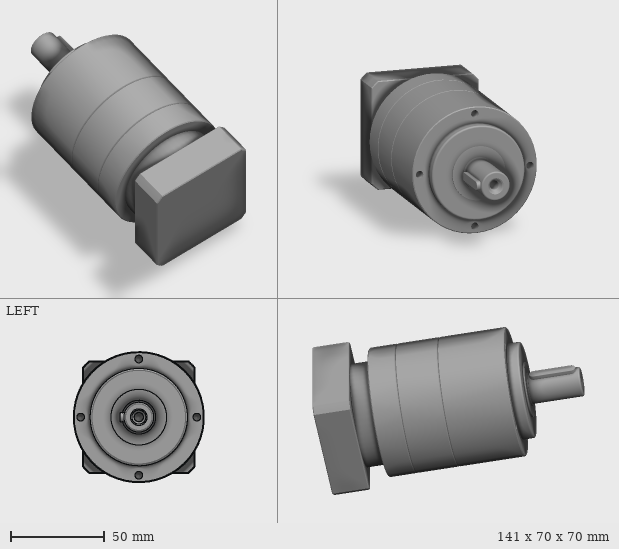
import cadquery as cq
import math

COLLAR_X = 27.9
BEARING_COVER_X = 28.6
PILOT_X = 29.5
BARREL_X = 36.0
RING_GEAR_X = 72.0
REAR_HOUSING_X = 95.0
BARREL_END_X = 110.1
FLANGE_X = 121.0
END_X = 141.0

SHAFT_DIA = 16.0
COLLAR_DIA = 18.0
BEARING_COVER_DIA = 29.8
PILOT_DIA = 52.0
BARREL_DIA = 70.0
NECK_DIA = 56.0

SHAFT_TIP_RADIUS = 0.8
PILOT_RADIUS = 1.0
BARREL_CHAMFER = 0.5
FLANGE_CHAMFER = 0.5

FLANGE_SIDE = 60.0
FLANGE_CORNER_DIA = 80.1

BOLT_CIRCLE_DIA = 62.0
BOLT_HOLE_DIA = 4.1
BOLT_HOLE_DEPTH = 9.9
BOLT_HOLE_COUNT = 4

CENTRE_DRILL_DIA = 5.0
CENTRE_CONE_DIA = 7.5
CENTRE_MOUTH_DIA = 8.9
CENTRE_MOUTH_DEPTH = 0.4
CENTRE_CONE_HALF_ANGLE = 30.0
CENTRE_HOLE_DEPTH = 16.0

DRILL_POINT_HALF_ANGLE = 59.0

KEY_X = 2.0
KEY_LENGTH = 25.1
KEY_WIDTH = 5.0
KEY_HEIGHT = 5.0
KEYWAY_DEPTH = 3.0
KEY_RADIUS = 0.3
KEY_BASE_Y = SHAFT_DIA / 2 - KEYWAY_DEPTH


def cylinder(dia, start_x, end_x):
    """Cylinder on the X axis between two stations."""
    return cq.Workplane("YZ", origin=(start_x, 0, 0)).circle(dia / 2).extrude(end_x - start_x)


def barrel_section(start_x, end_x):
    """Full-diameter barrel ring with both rims chamfered."""
    return cylinder(BARREL_DIA, start_x, end_x).edges().chamfer(BARREL_CHAMFER)


def revolved_cutter(points):
    """Cutter revolved about the X axis from (x, radius) points."""
    return cq.Workplane("XY").polyline(points).close().revolve(360, (0, 0, 0), (1, 0, 0))


def cone_length(radius, half_angle):
    """Axial length over which a cone closes by the given radius."""
    return radius / math.tan(math.radians(half_angle))


def bolt_hole_cutter():
    """Blind drilled hole with a conical bottom, on the X axis."""
    radius = BOLT_HOLE_DIA / 2
    wall_end = BARREL_X + BOLT_HOLE_DEPTH
    return revolved_cutter([
        (BARREL_X, 0),
        (BARREL_X, radius),
        (wall_end, radius),
        (wall_end + cone_length(radius, DRILL_POINT_HALF_ANGLE), 0),
    ])


def centre_hole_cutter():
    """Centre hole: widened mouth, protecting cone, drilled core with a conical bottom."""
    drill_radius = CENTRE_DRILL_DIA / 2
    cone_radius = CENTRE_CONE_DIA / 2
    cone_end = CENTRE_MOUTH_DEPTH + cone_length(cone_radius - drill_radius, CENTRE_CONE_HALF_ANGLE)
    return revolved_cutter([
        (0, 0),
        (0, CENTRE_MOUTH_DIA / 2),
        (CENTRE_MOUTH_DEPTH, cone_radius),
        (cone_end, drill_radius),
        (CENTRE_HOLE_DEPTH, drill_radius),
        (CENTRE_HOLE_DEPTH + cone_length(drill_radius, DRILL_POINT_HALF_ANGLE), 0),
    ])


def key_blank():
    """Round-ended key outline, extruded toward +Y from the keyway floor."""
    return (
        cq.Workplane("XZ", origin=(KEY_X + KEY_LENGTH / 2, KEY_BASE_Y, 0))
        .slot2D(KEY_LENGTH, KEY_WIDTH)
        .extrude(-KEY_HEIGHT)
    )


def make_key():
    """Shaft key with its outer rim rounded."""
    return key_blank().faces(">Y").edges().fillet(KEY_RADIUS)


def make_output_housing():
    """Front barrel section with pilot, bearing cover, collar and output shaft."""
    shaft = cylinder(SHAFT_DIA, 0, BARREL_X).faces("<X").edges().fillet(SHAFT_TIP_RADIUS)
    pilot = cylinder(PILOT_DIA, PILOT_X, BARREL_X).faces("<X").edges().fillet(PILOT_RADIUS)
    body = (
        barrel_section(BARREL_X, RING_GEAR_X)
        .union(pilot)
        .union(cylinder(BEARING_COVER_DIA, BEARING_COVER_X, PILOT_X))
        .union(cylinder(COLLAR_DIA, COLLAR_X, BEARING_COVER_X))
        .union(shaft)
        .cut(centre_hole_cutter())
        .cut(key_blank())
    )
    for index in range(BOLT_HOLE_COUNT):
        angle = index * 360 / BOLT_HOLE_COUNT
        hole = bolt_hole_cutter().translate((0, BOLT_CIRCLE_DIA / 2, 0))
        body = body.cut(hole.rotate((0, 0, 0), (1, 0, 0), angle))
    return body


def make_ring_gear():
    """Middle barrel section."""
    return barrel_section(RING_GEAR_X, REAR_HOUSING_X)


def make_rear_housing():
    """Rear barrel section with its neck and the motor flange."""
    length = END_X - FLANGE_X
    flange_plane = cq.Workplane("YZ", origin=(FLANGE_X, 0, 0))
    flange = (
        flange_plane.rect(FLANGE_SIDE, FLANGE_SIDE).extrude(length)
        .intersect(cylinder(FLANGE_CORNER_DIA, FLANGE_X, END_X))
        .faces("<X or >X").edges().chamfer(FLANGE_CHAMFER)
    )
    return (
        barrel_section(REAR_HOUSING_X, BARREL_END_X)
        .union(cylinder(NECK_DIA, BARREL_END_X, FLANGE_X))
        .union(flange)
    )


output_housing = make_output_housing()
ring_gear = make_ring_gear()
rear_housing = make_rear_housing()
key = make_key()

result = cq.Compound.makeCompound([
    output_housing.val(),
    ring_gear.val(),
    rear_housing.val(),
    key.val(),
])